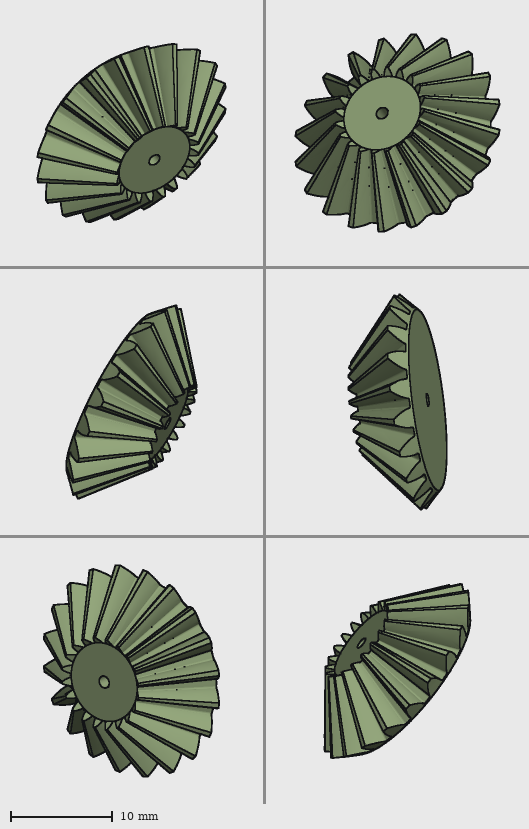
import cadquery as cq
import math


tooth_count = 20
pitch_radius = 10.0
pitch_cone_angle = math.radians(45)
pressure_angle = math.radians(22.5)
pitch_circle_x = 1.05
face_width = 8.0
dedendum = 1.17
flank_relief = 0.05
root_fillet = 0.2
bore_diameter = 1.2
flank_steps = 6
end_margin = 0.64

module = 2 * pitch_radius / tooth_count
addendum = module
cos_pitch = math.cos(pitch_cone_angle)
sin_pitch = math.sin(pitch_cone_angle)
cone_length = pitch_radius / sin_pitch
apex_x = pitch_circle_x + cone_length * cos_pitch
front_scale = 1 - face_width / cone_length

unrolled_pitch_radius = pitch_radius / cos_pitch
unrolled_tip_radius = unrolled_pitch_radius + addendum
unrolled_root_radius = unrolled_pitch_radius - dedendum
unrolled_base_radius = unrolled_pitch_radius * math.cos(pressure_angle)


def back_cone_point(unrolled_radius):
    """Axial position and radius of a point on the back cone."""
    height = unrolled_radius - unrolled_pitch_radius
    return pitch_circle_x + height * sin_pitch, pitch_radius + height * cos_pitch


def toward_apex(point, scale):
    """Shrink an (axial, radial) point toward the apex."""
    x, radius = point
    return apex_x - (apex_x - x) * scale, radius * scale


def involute_angle(unrolled_radius):
    """Polar angle swept by the involute from the base circle out to a radius."""
    roll = math.acos(unrolled_base_radius / unrolled_radius)
    return math.tan(roll) - roll


def axis_angle(width, unrolled_radius):
    """Angle about the gear axis covered by an arc width on the unrolled gear."""
    return width / unrolled_radius / cos_pitch


def half_tooth_angle(unrolled_radius):
    """Half the angle a tooth spans about the gear axis at a radius on its involute flanks."""
    half_at_pitch = axis_angle(math.pi * module / 4 - flank_relief, unrolled_pitch_radius)
    narrowing = involute_angle(unrolled_radius) - involute_angle(unrolled_pitch_radius)
    return half_at_pitch - narrowing / cos_pitch


def section_point(unrolled_radius, angle, plane_x):
    """Project a back cone point along its line to the apex onto a plane across the axis."""
    x, radius = back_cone_point(unrolled_radius)
    radius *= (apex_x - plane_x) / (apex_x - x)
    return radius * math.cos(angle), radius * math.sin(angle)


def half_tooth_outline():
    """Flank points and root fillet points as (unrolled radius, angle from the tooth middle)."""
    flank_start = unrolled_root_radius + root_fillet
    flank_height = unrolled_tip_radius - flank_start
    flank_radii = [flank_start + flank_height * step / flank_steps for step in range(flank_steps + 1)]
    flank = [(radius, half_tooth_angle(radius)) for radius in flank_radii]

    foot_angle = flank[0][1]
    sagitta = root_fillet * (1 - math.sqrt(0.5))
    fillet_middle = (
        unrolled_root_radius + sagitta,
        foot_angle + axis_angle(sagitta, unrolled_root_radius),
    )
    fillet_end = (unrolled_root_radius, foot_angle + axis_angle(root_fillet, unrolled_root_radius))
    return flank, fillet_middle, fillet_end


def tooth_section(plane_x):
    """Closed outline of the whole toothed section in the plane at plane_x."""
    pitch_angle = 2 * math.pi / tooth_count
    flank, fillet_middle, fillet_end = half_tooth_outline()

    def place(outline_point, middle, side):
        radius, angle = outline_point
        return section_point(radius, middle + side * angle, plane_x)

    outline = cq.Workplane("YZ", origin=(plane_x, 0, 0))
    outline = outline.moveTo(*place(fillet_end, pitch_angle / 2, -1))
    for tooth in range(tooth_count):
        middle = (tooth + 0.5) * pitch_angle
        rising = [place(flank_point, middle, -1) for flank_point in flank]
        falling = [place(flank_point, middle, 1) for flank_point in reversed(flank)]
        outline = outline.threePointArc(place(fillet_middle, middle, -1), rising[0])
        outline = outline.spline(rising[1:], includeCurrent=True)
        outline = outline.threePointArc(section_point(unrolled_tip_radius, middle, plane_x), falling[0])
        outline = outline.spline(falling[1:], includeCurrent=True)
        outline = outline.threePointArc(place(fillet_middle, middle, 1), place(fillet_end, middle, 1))
        outline = outline.threePointArc(
            section_point(unrolled_root_radius, middle + pitch_angle / 2, plane_x),
            place(fillet_end, middle + pitch_angle, -1),
        )
    return outline.close().val()


back_rim = pitch_radius - pitch_circle_x * cos_pitch / sin_pitch
blank_tip = back_cone_point(unrolled_tip_radius + end_margin)
front_tip = toward_apex(blank_tip, front_scale)
front_root = toward_apex(back_cone_point(unrolled_root_radius), front_scale)
blank = (
    cq.Workplane("XY")
    .polyline([(0, 0), (0, back_rim), blank_tip, front_tip, front_root, (front_root[0], 0)])
    .close()
    .revolve(360, (0, 0, 0), (1, 0, 0))
)

taper_start = -end_margin
taper_end = front_tip[0] + end_margin
toothed_taper = cq.Workplane(
    cq.Solid.makeLoft([tooth_section(taper_start), tooth_section(taper_end)], True)
)

bore = cq.Workplane("YZ").circle(bore_diameter / 2).extrude(front_tip[0])

result = blank.intersect(toothed_taper).cut(bore)